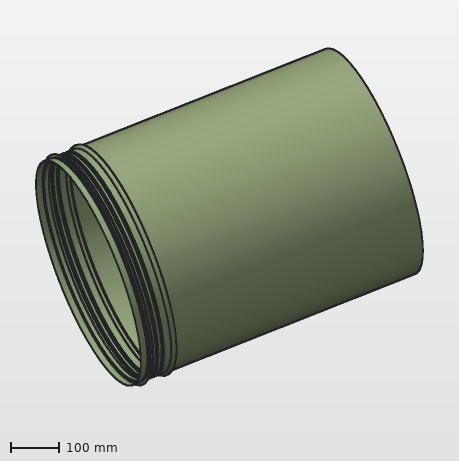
import cadquery as cq

LENGTH = 650.0
WALL = 1.0

TUBE_RADIUS = 504.5 / 2
TUBE_START = 78.5

SPIGOT_RADIUS = 502.0 / 2

BEAD_TOP_RADIUS = 515.0 / 2
BEAD_CENTRE = 75.5
BEAD_WIDTH = 12.5

GROOVE_BOTTOM_RADIUS = 497.0 / 2
GROOVE_WIDTH = 6.0
GROOVE_FLOOR = 1.0
GROOVE_CENTRES = (38.0, 51.0)

SEAT_BOTTOM_RADIUS = 492.0 / 2
SEAT_WIDTH = 14.0
SEAT_FLOOR = 10.5
SEAT_CENTRE = 22.0

SEAL_RADIUS = 500.0 / 2
LIP_RADIUS = BEAD_TOP_RADIUS
LIP_WIDTH = 1.0
LIP_CENTRE = 19.5


def revolve_about_axis(outline):
    """Turn a closed outline, drawn as (radius, Y), once around the duct axis."""
    return outline.revolve(360, (0, 0, 0), (0, 1, 0))


def add_groove(outline, mouth_radius, bottom_radius, centre, width, floor):
    """Continue an outline in +Y across a groove with sloping walls and a flat floor."""
    return (
        outline.lineTo(mouth_radius, centre - width / 2)
        .lineTo(bottom_radius, centre - floor / 2)
        .lineTo(bottom_radius, centre + floor / 2)
        .lineTo(mouth_radius, centre + width / 2)
    )


def nipple_core(inset):
    """Solid that fills the nipple up to the surface lying `inset` below its outer face."""
    spigot = SPIGOT_RADIUS - inset
    seat_bottom = SEAT_BOTTOM_RADIUS - inset
    groove_bottom = GROOVE_BOTTOM_RADIUS - inset
    bead_top = BEAD_TOP_RADIUS - inset
    bead_start = BEAD_CENTRE - BEAD_WIDTH / 2 + inset
    bead_end = BEAD_CENTRE + BEAD_WIDTH / 2 - inset

    outline = cq.Workplane("XY").lineTo(spigot, 0)
    outline = add_groove(outline, spigot, seat_bottom, SEAT_CENTRE, SEAT_WIDTH, SEAT_FLOOR)
    for centre in GROOVE_CENTRES:
        outline = add_groove(outline, spigot, groove_bottom, centre, GROOVE_WIDTH, GROOVE_FLOOR)
    outline = (
        outline.lineTo(spigot, bead_start)
        .threePointArc((bead_top, BEAD_CENTRE), (TUBE_RADIUS, bead_end))
        .lineTo(TUBE_RADIUS, BEAD_CENTRE)
        .lineTo(0, BEAD_CENTRE)
        .close()
    )
    return revolve_about_axis(outline)


def make_nipple():
    """Sheet between the outer and inner faces of the nipple."""
    return nipple_core(0).cut(nipple_core(WALL))


def make_seal():
    """Ring strip in the seat with its upright lip."""
    strip_start = SEAT_CENTRE - SEAT_FLOOR / 2
    strip_end = SEAT_CENTRE + SEAT_FLOOR / 2
    lip_start = LIP_CENTRE - LIP_WIDTH / 2
    lip_end = LIP_CENTRE + LIP_WIDTH / 2
    outline = (
        cq.Workplane("XY")
        .moveTo(SEAT_BOTTOM_RADIUS, strip_start)
        .lineTo(SEAL_RADIUS, strip_start)
        .lineTo(SEAL_RADIUS, lip_start)
        .lineTo(LIP_RADIUS, lip_start)
        .lineTo(LIP_RADIUS, lip_end)
        .lineTo(SEAL_RADIUS, lip_end)
        .lineTo(SEAL_RADIUS, strip_end)
        .lineTo(SEAT_BOTTOM_RADIUS, strip_end)
        .close()
    )
    return revolve_about_axis(outline)


def make_tube():
    """Plain pipe from inside the bead to the far end of the duct."""
    bore_radius = TUBE_RADIUS - WALL
    outline = (
        cq.Workplane("XY")
        .moveTo(bore_radius, TUBE_START)
        .lineTo(TUBE_RADIUS, TUBE_START)
        .lineTo(TUBE_RADIUS, LENGTH)
        .lineTo(bore_radius, LENGTH)
        .close()
    )
    return revolve_about_axis(outline)


tube = make_tube()
nipple = make_nipple()
seal = make_seal()

result = cq.Compound.makeCompound([tube.val(), nipple.solids().val(), seal.val()])